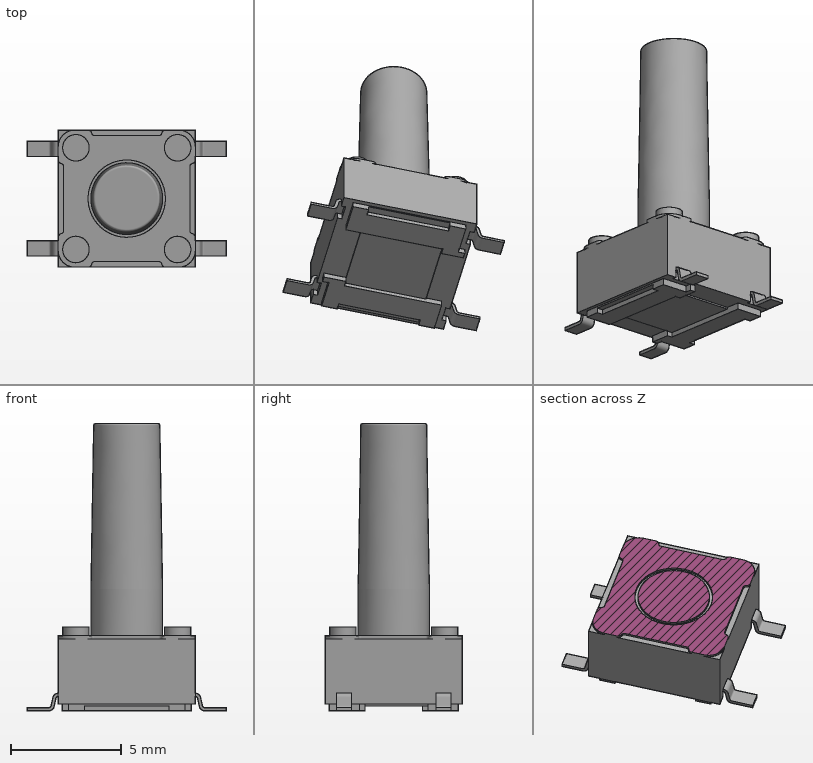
import cadquery as cq
import math

body_side = 6.2
body_bottom_z = 0.3
body_top_z = 3.25

cover_top_z = 3.4
cover_corner_radius = 0.75
notch_depth = 0.25
notch_mouth_half = 1.76
notch_arc_join_half = 1.58
notch_floor_half = 1.45
button_hole_diameter = 3.5

stud_diameter = 1.2
stud_pitch = 4.6
stud_top_z = 3.8

button_diameter = 3.25
button_tip_diameter = 3.0
button_taper_start_z = 5.5
button_top_z = 13.0
button_edge_fillet = 0.1

foot_outer_x = 2.625
foot_outer_y = 2.925
foot_inner_x = 1.9
foot_inner_y = 1.56
foot_tab_outer_x = 2.925
foot_tab_inner_y = 1.3
foot_web_recess = 0.3
base_plate_bottom_z = 0.22

lead_span = 9.0
lead_width = 0.7
lead_pitch = 4.5
lead_thickness = 0.15
lead_shoulder_z = 0.8
lead_bend_inner_radius = 0.1
lead_bend_outer_radius = lead_bend_inner_radius + lead_thickness
lead_heel_x = 3.525
lead_slot_depth = 0.2

body_half = body_side / 2
lead_root_x = body_half - lead_slot_depth


def box_between(x_min, x_max, y_min, y_max, z_min, z_max):
    """Axis-aligned box given by its limits."""
    return (
        cq.Workplane("XY", origin=((x_min + x_max) / 2, (y_min + y_max) / 2, z_min))
        .rect(x_max - x_min, y_max - y_min)
        .extrude(z_max - z_min)
    )


def mirrored_to_all_corners(shape):
    """The shape together with its mirror images across X = 0 and Y = 0."""
    pair = shape.union(shape.mirror("YZ"))
    return pair.union(pair.mirror("XZ"))


def make_lead_slot():
    """Slot in the +X side of the housing, open downward, that the +X, +Y lead leaves through."""
    slot_y = lead_pitch / 2
    return box_between(
        lead_root_x,
        body_half,
        slot_y - lead_width / 2,
        slot_y + lead_width / 2,
        body_bottom_z,
        lead_shoulder_z,
    )


def make_housing():
    block = box_between(-body_half, body_half, -body_half, body_half, body_bottom_z, body_top_z)
    return block.cut(mirrored_to_all_corners(make_lead_slot()))


def make_cover_notch():
    """Cut in the -Y edge of the cover; each end is an S of two tangent arcs."""
    edge_y = -body_half
    floor_y = edge_y + notch_depth
    arcs_width = notch_mouth_half - notch_floor_half
    join_y = edge_y + notch_depth * (notch_mouth_half - notch_arc_join_half) / arcs_width
    half_notch = (
        cq.Workplane("XY", origin=(0, 0, body_top_z))
        .moveTo(0, floor_y)
        .lineTo(notch_floor_half, floor_y)
        .tangentArcPoint((notch_arc_join_half, join_y), relative=False)
        .tangentArcPoint((notch_mouth_half, edge_y), relative=False)
        .lineTo(0, edge_y)
        .close()
        .extrude(cover_top_z - body_top_z)
    )
    return half_notch.union(half_notch.mirror("YZ"))


def make_cover():
    cover = box_between(-body_half, body_half, -body_half, body_half, body_top_z, cover_top_z)
    cover = cover.edges("|Z").fillet(cover_corner_radius)
    for quarter_turn in range(4):
        cover = cover.cut(make_cover_notch().rotate((0, 0, 0), (0, 0, 1), 90 * quarter_turn))
    return cover.cut(
        cq.Workplane("XY", origin=(0, 0, body_top_z))
        .circle(button_hole_diameter / 2)
        .extrude(cover_top_z - body_top_z)
    )


def make_studs():
    return (
        cq.Workplane("XY", origin=(0, 0, body_top_z))
        .rect(stud_pitch, stud_pitch, forConstruction=True)
        .vertices()
        .circle(stud_diameter / 2)
        .extrude(stud_top_z - body_top_z)
    )


def make_button():
    """Cylindrical stem carrying a slightly tapered cap with a rounded top edge."""
    profile = (
        cq.Workplane("XZ")
        .moveTo(0, body_top_z)
        .lineTo(button_diameter / 2, body_top_z)
        .lineTo(button_diameter / 2, button_taper_start_z)
        .lineTo(button_tip_diameter / 2, button_top_z)
        .lineTo(0, button_top_z)
        .close()
    )
    button = profile.revolve(360, (0, 0, 0), (0, 1, 0))
    return button.faces(">Z").edges().fillet(button_edge_fillet)


def make_foot():
    """Plain foot under the +X, +Y corner."""
    return box_between(foot_inner_x, foot_outer_x, foot_inner_y, foot_outer_y, 0, body_bottom_z)


def make_foot_tab():
    """Narrow tab along the inner side of the -X, +Y foot, reaching past it toward -X."""
    return box_between(
        -foot_tab_outer_x, -foot_inner_x, foot_tab_inner_y, foot_inner_y, 0, body_bottom_z
    )


def make_foot_web():
    """Low web joining the two feet along the +Y side, set back from their outer faces."""
    web_outer_y = foot_outer_y - foot_web_recess
    return box_between(-foot_inner_x, foot_inner_x, foot_inner_y, web_outer_y, 0, body_bottom_z)


def make_feet():
    """Four feet joined in pairs by webs; the feet on one diagonal carry tabs."""
    feet = mirrored_to_all_corners(make_foot().union(make_foot_web()))
    tab = make_foot_tab()
    return feet.union(tab).union(tab.rotate((0, 0, 0), (0, 0, 1), 180))


def make_base_plate():
    return box_between(
        -foot_inner_x, foot_inner_x, -foot_outer_y, foot_outer_y, base_plate_bottom_z, body_bottom_z
    )


def point_on_circle(center, radius, angle):
    """Point at an angle, in radians from +X, on a circle in the lead's profile plane."""
    return (center[0] + radius * math.cos(angle), center[1] + radius * math.sin(angle))


def make_lead():
    """Gull-wing lead on the +X side, centred on Y = 0: a strip bent down, then out along the board."""
    inner = lead_bend_inner_radius
    outer = lead_bend_outer_radius
    tip_x = lead_span / 2
    shoulder_center = (body_half, lead_shoulder_z - outer)
    heel_center = (lead_heel_x, outer)

    run = heel_center[0] - shoulder_center[0]
    drop = shoulder_center[1] - heel_center[1]
    leg_angle = math.acos((inner + outer) / math.hypot(run, drop)) - math.atan2(drop, run)
    shoulder_middle = (leg_angle + math.pi / 2) / 2
    heel_start = leg_angle + math.pi
    heel_end = 1.5 * math.pi
    heel_middle = (heel_start + heel_end) / 2

    profile = (
        cq.Workplane("XZ")
        .moveTo(lead_root_x, lead_shoulder_z)
        .lineTo(body_half, lead_shoulder_z)
        .threePointArc(
            point_on_circle(shoulder_center, outer, shoulder_middle),
            point_on_circle(shoulder_center, outer, leg_angle),
        )
        .lineTo(*point_on_circle(heel_center, inner, heel_start))
        .threePointArc(
            point_on_circle(heel_center, inner, heel_middle),
            point_on_circle(heel_center, inner, heel_end),
        )
        .lineTo(tip_x, lead_thickness)
        .lineTo(tip_x, 0)
        .lineTo(lead_heel_x, 0)
        .threePointArc(
            point_on_circle(heel_center, outer, heel_middle),
            point_on_circle(heel_center, outer, heel_start),
        )
        .lineTo(*point_on_circle(shoulder_center, inner, leg_angle))
        .threePointArc(
            point_on_circle(shoulder_center, inner, shoulder_middle),
            point_on_circle(shoulder_center, inner, math.pi / 2),
        )
        .lineTo(lead_root_x, lead_shoulder_z - lead_thickness)
        .close()
    )
    return profile.extrude(lead_width / 2, both=True)


result = (
    make_housing()
    .union(make_cover())
    .union(make_studs())
    .union(make_button())
    .union(make_base_plate())
    .union(make_feet())
    .union(mirrored_to_all_corners(make_lead().translate((0, lead_pitch / 2, 0))))
)